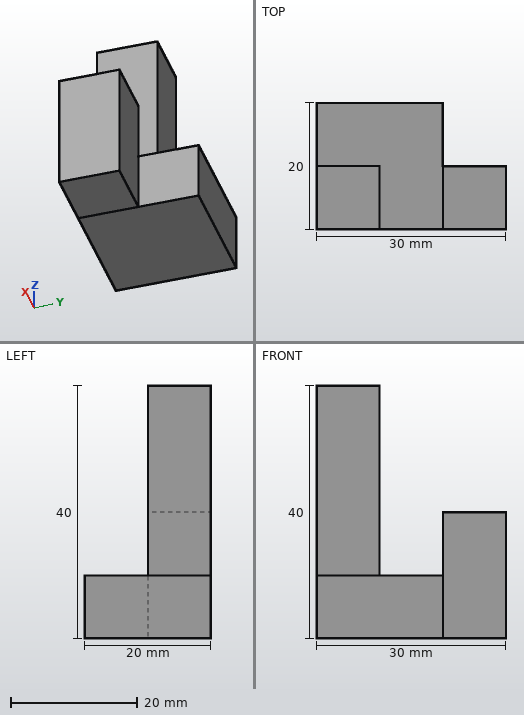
import cadquery as cq

cell = 10.0

base_side = 2 * cell
base_height = cell
tall_post_height = 3 * cell
short_post_height = 2 * cell


def block(length, width, height, corner):
    """Box whose lowest-coordinate corner sits at the given point."""
    return cq.Workplane("XY").box(length, width, height, centered=False).translate(corner)


def make_base():
    """Square slab that carries the tall post."""
    return block(base_side, base_side, base_height, (0, 0, 0))


def make_tall_post():
    """Square post standing on the front left corner of the base."""
    return block(cell, cell, tall_post_height, (0, 0, base_height))


def make_short_post():
    """Square post standing beside the base, flush with its front and bottom."""
    return block(cell, cell, short_post_height, (base_side, 0, 0))


base = make_base()
tall_post = make_tall_post()
short_post = make_short_post()

result = cq.Compound.makeCompound([base.val(), tall_post.val(), short_post.val()])